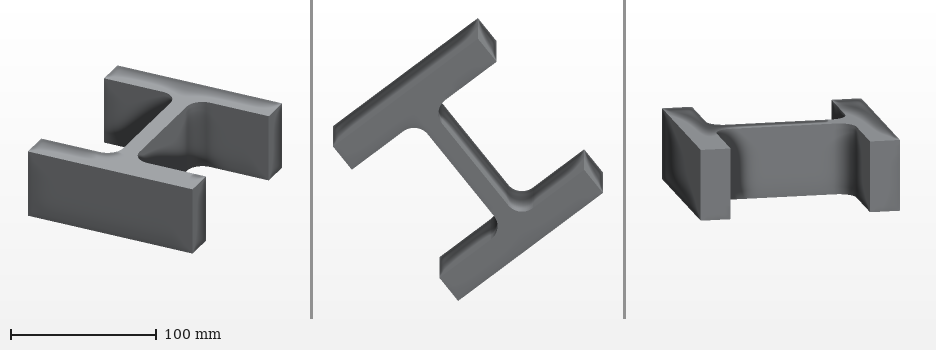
import cadquery as cq

flange_width = 126.0
section_depth = 140.0
length = 50.0
flange_thickness = 21.0
web_thickness = 12.5
root_radius = 12.0

flange_offset = (section_depth - flange_thickness) / 2


def flange(side):
    """Flange plate at the +Y (side = 1) or -Y (side = -1) end of the web."""
    plate = cq.Workplane("XY").box(flange_width, flange_thickness, length)
    return plate.translate((0, side * flange_offset, 0))


web = cq.Workplane("XY").box(web_thickness, section_depth, length)
section = web.union(flange(1)).union(flange(-1))

root_zone = cq.selectors.BoxSelector(
    (-web_thickness, -flange_offset, -length),
    (web_thickness, flange_offset, length),
)
result = section.edges("|Z").edges(root_zone).fillet(root_radius)